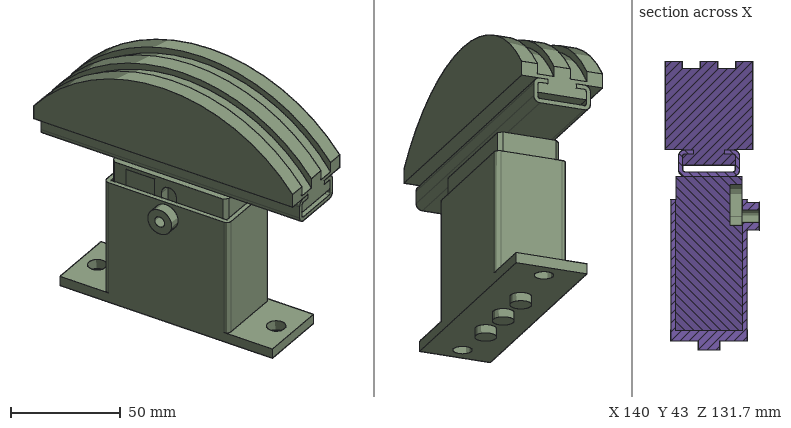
import cadquery as cq
import math


length = 140.0

plate_length = 115.0
plate_thickness = 5.0
bracket_width = 35.0
housing_length = 67.3
housing_top = 64.7
wall = 2.4
stud_diameter = 10.0
stud_length = 4.0
stud_count = 3
stud_spacing = 20.9
plate_hole_diameter = 8.8
plate_hole_inset = 9.1

slider_top = 75.2
slider_chamfer = 2.0
slot_width = 8.0
slot_depth = 5.5
slot_top = 71.3

label_width = 15.3
label_right = -7.8
label_margin = 1.8
label_height = 15.3
label_thickness = 1.0

boss_height = 57.0
boss_diameter = 12.9
boss_length = 5.5
bore_diameter = 5.3

rail_width = 28.0
rail_height = 12.2
rail_wall = 2.1
rail_outer_radius = 3.1
rail_opening = 14.0

profile_width = 40.0
profile_height = 40.3
crown_radius = 90.0
groove_depth = 3.1
groove_width = 8.1
groove_spacing = 16.2
foot_thickness = 5.0

cavity_length = housing_length - 2 * wall
cavity_width = bracket_width - 2 * wall
front_face = -bracket_width / 2
slider_front = -cavity_width / 2
slider_height = slider_top - plate_thickness
rail_top = slider_top + rail_height
rail_inner_radius = rail_outer_radius - rail_wall
foot_width = rail_width - 2 * rail_wall
crown_top = rail_top + profile_height
crown_center = crown_top - crown_radius


def box(size_x, size_y, size_z, bottom):
    """Box centred on the Z axis, standing on the given height."""
    base = cq.Workplane("XY", origin=(0, 0, bottom))
    return base.box(size_x, size_y, size_z, centered=(True, True, False))


def cylinder_along_y(diameter, start_y, end_y, height):
    """Cylinder at X = 0 and the given height, from start_y to the larger end_y."""
    return (
        cq.Workplane("XZ", origin=(0, start_y, height))
        .circle(diameter / 2)
        .extrude(start_y - end_y)
    )


def make_bracket():
    """Base plate, open-topped housing, studs below the plate and a bored boss on the front."""
    plate = box(plate_length, bracket_width, plate_thickness, 0)
    housing = box(housing_length, bracket_width, housing_top - plate_thickness, plate_thickness)
    housing = housing.edges("|Z").fillet(wall)
    cavity = box(cavity_length, cavity_width, housing_top - plate_thickness, plate_thickness)
    studs = (
        cq.Workplane("XY")
        .rarray(stud_spacing, 1.4, stud_count, 1)
        .circle(stud_diameter / 2)
        .extrude(-stud_length)
    )
    plate_holes = (
        cq.Workplane("XY")
        .rarray(plate_length - 2 * plate_hole_inset, 1.4, 2, 1)
        .circle(plate_hole_diameter / 2)
        .extrude(plate_thickness)
    )
    boss_face = front_face - boss_length
    boss = cylinder_along_y(boss_diameter, boss_face, front_face, boss_height)
    bore = cylinder_along_y(bore_diameter, boss_face, slider_front, boss_height)
    return plate.union(housing).union(studs).union(boss).cut(cavity).cut(plate_holes).cut(bore)


def make_label():
    """Indicator plate set flush into the front of the slider."""
    label_x = label_right - label_width / 2
    label_z = slider_top - label_margin - label_height / 2
    return (
        cq.Workplane("XZ", origin=(label_x, slider_front, label_z))
        .rect(label_width, label_height)
        .extrude(-label_thickness)
    )


def make_slider(label):
    """Chamfered block with a locking slot behind the boss and a recess that fits the label."""
    block = box(cavity_length, cavity_width, slider_height, plate_thickness)
    block = block.edges("|Z").chamfer(slider_chamfer)
    slot_bottom = boss_height - slot_width / 2
    slot = (
        cq.Workplane("XZ", origin=(0, slider_front, (slot_top + slot_bottom) / 2))
        .slot2D(slot_top - slot_bottom, slot_width, 90)
        .extrude(-slot_depth)
    )
    return block.cut(slot).cut(label)


def make_rail():
    """C-rail bent from strip, open at the top for the profile's foot."""
    outside = box(length, rail_width, rail_height, slider_top).edges("|X").fillet(rail_outer_radius)
    inside = box(length, foot_width, rail_height - 2 * rail_wall, slider_top + rail_wall)
    inside = inside.edges("|X").fillet(rail_inner_radius)
    opening = box(length, rail_opening, rail_wall, rail_top - rail_wall)
    return outside.cut(inside).cut(opening)


def arched_outline(radius, thickness, y):
    """Solid under an arc about the crown centre, from the flange underside up, centred on y."""
    end_height = crown_center + math.sqrt(radius**2 - (length / 2) ** 2)
    return (
        cq.Workplane("XZ", origin=(0, y + thickness / 2, 0))
        .moveTo(-length / 2, rail_top)
        .lineTo(-length / 2, end_height)
        .threePointArc((0, crown_center + radius), (length / 2, end_height))
        .lineTo(length / 2, rail_top)
        .close()
        .extrude(thickness)
    )


def make_profile():
    """Arched profile with chain grooves in its crown and a T-foot held by the rail."""
    profile = arched_outline(crown_radius, profile_width, 0)
    for groove_y in (-groove_spacing / 2, groove_spacing / 2):
        crown_band = arched_outline(crown_radius, groove_width, groove_y)
        groove_floor = arched_outline(crown_radius - groove_depth, groove_width, groove_y)
        profile = profile.cut(crown_band.cut(groove_floor))
    neck = box(length, rail_opening, rail_wall, rail_top - rail_wall)
    foot = box(length, foot_width, foot_thickness, rail_top - rail_wall - foot_thickness)
    foot = foot.edges("|X and >Z").fillet(rail_inner_radius)
    return profile.union(neck).union(foot)


bracket = make_bracket()
label = make_label()
slider = make_slider(label)
rail = make_rail()
profile = make_profile()

result = cq.Compound.makeCompound([
    bracket.val(),
    slider.val(),
    label.val(),
    rail.val(),
    profile.val(),
])